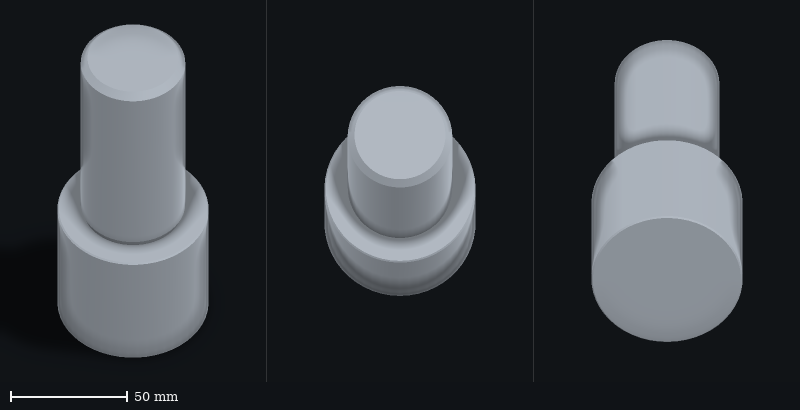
import cadquery as cq

total_height = 155.0
head_diameter = 65.0
head_height = 60.0
head_edge_chamfer = 0.6

shank_diameter = 45.0
shank_tip_chamfer = 3.0

neck_diameter = 43.0
neck_height = 3.0

shank_start = head_height + neck_height
shank_length = total_height - shank_start


def cylinder(diameter, height, base_z):
    """Return a cylinder on the Z axis whose lower face is at base_z."""
    return cq.Workplane("XY").workplane(offset=base_z).circle(diameter / 2).extrude(height)


head = cylinder(head_diameter, head_height, 0).edges().chamfer(head_edge_chamfer)

neck = cylinder(neck_diameter, neck_height, head_height)

shank = cylinder(shank_diameter, shank_length, shank_start)
shank = shank.faces(">Z").edges().chamfer(shank_tip_chamfer)

result = head.union(neck).union(shank)